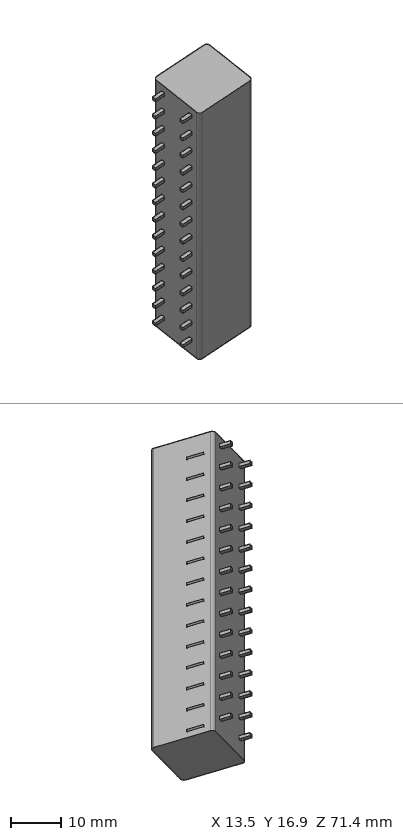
import cadquery as cq

width = 13.5
total_depth = 16.9
height = 71.4

pin_length = 2.5
housing_depth = total_depth - pin_length
corner_radius = 0.8

contact_count = 14
pitch = 5.0

pin_width = 0.85
pin_height = 0.8
pin_spacing = 8.15
pin_pair_offset = 0.11
lowest_pin_z = 4.2
pin_root = 0.7

slot_length = 3.85
slot_height = 0.535
slot_depth = slot_height
slot_front_gap = 2.35
lowest_slot_z = 1.7

left_face_x = -width / 2


def make_housing():
    """Housing centred on X, with its -Y face at y = 0 and its base at z = 0."""
    block = cq.Workplane("XY").box(width, housing_depth, height, centered=(True, False, False))
    return block.edges("|Z").fillet(corner_radius)


def make_pin(x, z):
    """One pin with its axis along Y, centred on the given x and z."""
    pin = cq.Workplane("XY").box(pin_width, pin_length + pin_root, pin_height, centered=(True, False, True))
    return pin.translate((x, -pin_length, z))


def make_slot(z):
    """Triangular-section slot cutter with its mouth on the -X face, centred on the given z."""
    floor_z = z - slot_height / 2
    roof_z = z + slot_height / 2
    section = [
        (left_face_x, floor_z),
        (left_face_x, roof_z),
        (left_face_x + slot_depth, floor_z),
    ]
    profile = cq.Workplane("XZ", origin=(0, slot_front_gap, 0)).polyline(section).close()
    return profile.extrude(-slot_length)


result = make_housing()
for index in range(contact_count):
    rise = index * pitch
    result = result.cut(make_slot(lowest_slot_z + rise))
    for side in (-1, 1):
        pin_x = pin_pair_offset + side * pin_spacing / 2
        result = result.union(make_pin(pin_x, lowest_pin_z + rise))